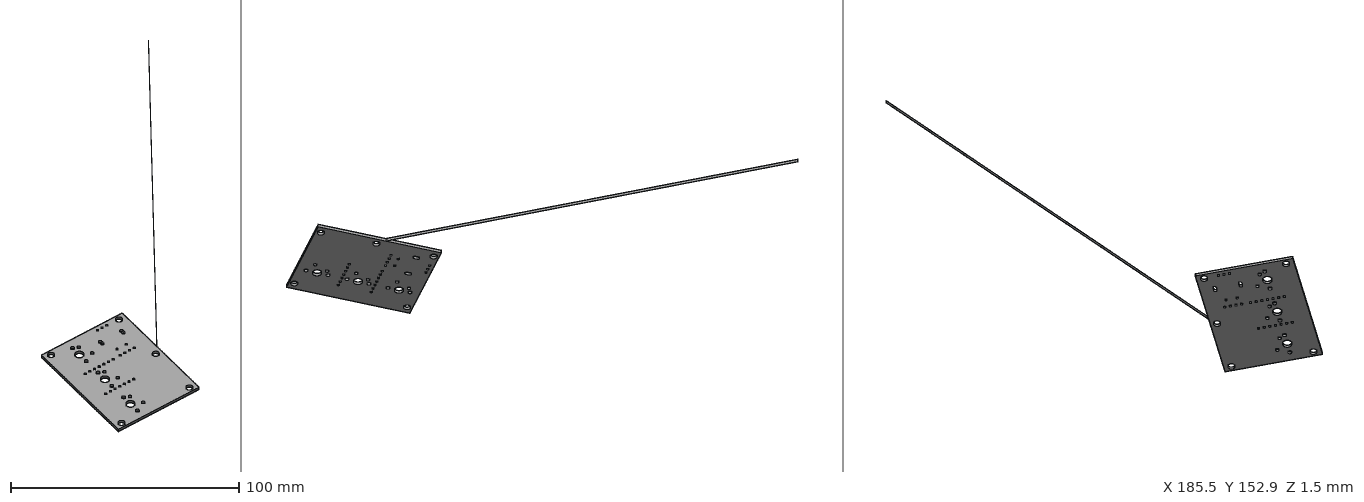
import cadquery as cq
import math

overall_length = 185.5
overall_width = 152.9
thickness = 1.5

board_length = 57.0
board_width = 44.0

mount_diameter = 3.2
mount_inset_x = 2.5
mount_inset_y = 3.5
mount_x = board_length / 2 - mount_inset_x
mount_y = board_width / 2 - mount_inset_y
cable_hole_diameter = 3.2
cable_hole_center = (0.5, 19.0)

spike_width = 0.04
spike_root = (-1.3, 21.0)
spike_tip = (board_length / 2 - overall_length, overall_width - board_width / 2)

switch_count = 3
switch_pitch = 19.0
switch_row_y = -8.3
switch_center_diameter = 4.0
switch_peg_diameter = 1.7
switch_pin_diameter = 1.5

pin_diameter = 1.0
controller_pins_per_row = 7
controller_row_span = 15.2
controller_center_x = -0.2
controller_row_offset = 7.6
controller_center_y = -5.8
header_pitch = controller_row_span / (controller_pins_per_row - 1)
display_pins = 4
display_center = (-8.0, 9.6)

encoder_center = (-19.1, 9.5)
encoder_slot_length = 3.0
encoder_slot_width = 1.5
encoder_slot_offset = 5.8
encoder_pin_offset = 7.2
encoder_pin_span = 5.0


def drill(body, centers, diameter):
    """Cut vertical through holes at the given centres."""
    cutter = cq.Workplane("XY").pushPoints(centers).circle(diameter / 2).extrude(thickness)
    return body.cut(cutter)


def pin_column(x, center_y, count, pitch):
    """Centres of a column of evenly spaced pins along Y."""
    first_y = center_y - pitch * (count - 1) / 2
    return [(x, first_y + i * pitch) for i in range(count)]


def make_spike():
    """Thin straight strip with its outer end cut parallel to Y."""
    run = spike_root[0] - spike_tip[0]
    drop = spike_tip[1] - spike_root[1]
    length = math.hypot(run, drop)
    shift_x = spike_width * drop / length
    shift_y = spike_width * run / length
    outline = [
        spike_tip,
        spike_root,
        (spike_root[0] - shift_x, spike_root[1] - shift_y),
        (spike_tip[0], spike_tip[1] - spike_width * length / run),
    ]
    return cq.Workplane("XY").polyline(outline).close().extrude(thickness)


def cut_switch(body, x):
    """Centre hole, two side pegs and two offset contact pins of one switch."""
    y = switch_row_y
    pegs = [(x - 2 * header_pitch, y), (x + 2 * header_pitch, y)]
    contacts = [(x - 1.5 * header_pitch, y + header_pitch), (x + header_pitch, y + 2 * header_pitch)]
    body = drill(body, [(x, y)], switch_center_diameter)
    body = drill(body, pegs, switch_peg_diameter)
    return drill(body, contacts, switch_pin_diameter)


def cut_encoder(body):
    """Two mounting slots, three signal pins and two push-button pins."""
    x, y = encoder_center
    slots = (
        cq.Workplane("XY")
        .pushPoints([(x, y - encoder_slot_offset), (x, y + encoder_slot_offset)])
        .slot2D(encoder_slot_length, encoder_slot_width)
        .extrude(thickness)
    )
    signal_pins = pin_column(x - encoder_pin_offset, y, 3, encoder_pin_span / 2)
    button_pins = pin_column(x + encoder_pin_offset, y, 2, encoder_pin_span)
    return drill(body.cut(slots), signal_pins + button_pins, pin_diameter)


board = cq.Workplane("XY").box(board_length, board_width, thickness, centered=(True, True, False))
board = board.union(make_spike())

board = drill(board, [(sx * mount_x, sy * mount_y) for sx in (-1, 1) for sy in (-1, 1)], mount_diameter)
board = drill(board, [cable_hole_center], cable_hole_diameter)

for index in range(switch_count):
    board = cut_switch(board, (index - (switch_count - 1) / 2) * switch_pitch)

board = cut_encoder(board)

for side in (-1, 1):
    row_x = controller_center_x + side * controller_row_offset
    row = pin_column(row_x, controller_center_y, controller_pins_per_row, header_pitch)
    board = drill(board, row, pin_diameter)

board = drill(board, pin_column(*display_center, display_pins, header_pitch), pin_diameter)

result = board